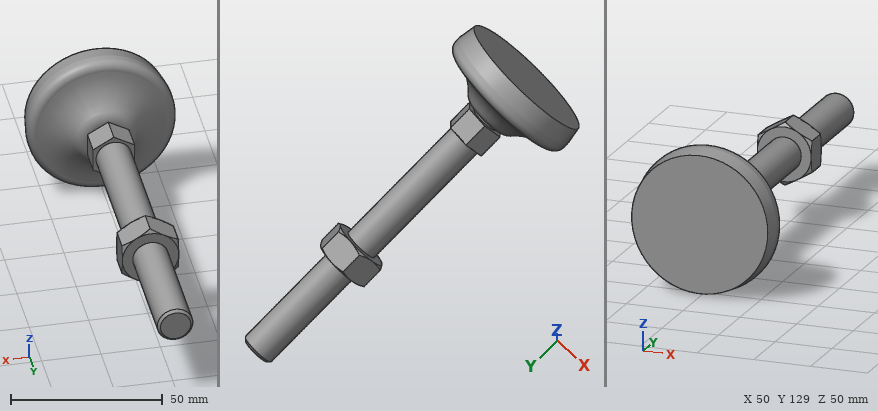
import cadquery as cq
import math

overall_length = 129.0

foot_radius = 25.0
sole_radius = 24.0
taper_top = 6.0
rim_top = 8.0
shoulder_round = 3.0
shoulder_height = rim_top + shoulder_round
shoulder_radius = foot_radius - shoulder_round
foot_height = 19.0
crown_round = 5.0
crown_sweep = math.radians(45)
flank_start_radius = 10.0
flank_start_height = foot_height - crown_round * (1 - math.cos(crown_sweep))
flank_middle_radius = 15.3
flank_middle_height = 13.1

neck_radius = 5.0
stud_radius = 6.0
tip_chamfer = 0.9
stud_hex_start = 20.0
stud_hex_length = 9.0
stud_hex_flats = 14.0

nut_start = 79.0
nut_height = 9.5
nut_flats = 19.0
nut_chamfer_angle = math.radians(30)

hexagon_cosine = math.cos(math.pi / 6)


def revolve_about_y(profile):
    """Close a half profile (X is the radius) and turn it about the Y axis."""
    return profile.close().revolve(360, (0, 0, 0), (0, 1, 0))


def cylinder(radius, start, end):
    """Solid cylinder along +Y between two positions."""
    plane = cq.Workplane("XZ", origin=(0, start, 0))
    return plane.circle(radius).extrude(start - end)


def hexagon(flats, start, length):
    """Hexagonal prism along +Y with two flats facing +X and -X."""
    corner_diameter = flats / hexagon_cosine
    plane = cq.Workplane("XZ", origin=(0, start, 0))
    turned_plane = plane.transformed(rotate=(0, 0, 90))
    return turned_plane.polygon(6, corner_diameter).extrude(-length)


def make_foot():
    """Round foot: tapered rim, rounded shoulder, hollow flank and rounded crown."""
    round_middle = shoulder_round * math.sin(math.pi / 4)
    crown_flat_radius = flank_start_radius - crown_round * math.sin(crown_sweep)
    crown_middle_radius = crown_flat_radius + crown_round * math.sin(crown_sweep / 2)
    crown_middle_height = foot_height - crown_round * (1 - math.cos(crown_sweep / 2))
    profile = (
        cq.Workplane("XY")
        .lineTo(sole_radius, 0)
        .lineTo(foot_radius, taper_top)
        .lineTo(foot_radius, rim_top)
        .threePointArc(
            (shoulder_radius + round_middle, rim_top + round_middle),
            (shoulder_radius, shoulder_height),
        )
        .threePointArc(
            (flank_middle_radius, flank_middle_height),
            (flank_start_radius, flank_start_height),
        )
        .threePointArc(
            (crown_middle_radius, crown_middle_height),
            (crown_flat_radius, foot_height),
        )
        .lineTo(0, foot_height)
    )
    return revolve_about_y(profile)


def make_stud():
    """Neck, wrench hexagon and plain shank with a chamfered tip."""
    hex_end = stud_hex_start + stud_hex_length
    neck = cylinder(neck_radius, foot_height, stud_hex_start)
    hex_section = hexagon(stud_hex_flats, stud_hex_start, stud_hex_length)
    shank = cylinder(stud_radius, hex_end, overall_length).faces(">Y").chamfer(tip_chamfer)
    return neck.union(hex_section).union(shank)


def make_nut():
    """Hexagon nut with conical corner chamfers on both faces."""
    face_radius = nut_flats / 2
    corner_radius = face_radius / hexagon_cosine
    chamfer_height = (corner_radius - face_radius) * math.tan(nut_chamfer_angle)
    nut_end = nut_start + nut_height
    chamfer_envelope = revolve_about_y(
        cq.Workplane("XY")
        .moveTo(0, nut_start)
        .lineTo(face_radius, nut_start)
        .lineTo(corner_radius, nut_start + chamfer_height)
        .lineTo(corner_radius, nut_end - chamfer_height)
        .lineTo(face_radius, nut_end)
        .lineTo(0, nut_end)
    )
    return hexagon(nut_flats, nut_start, nut_height).intersect(chamfer_envelope)


result = make_foot().union(make_stud()).union(make_nut())